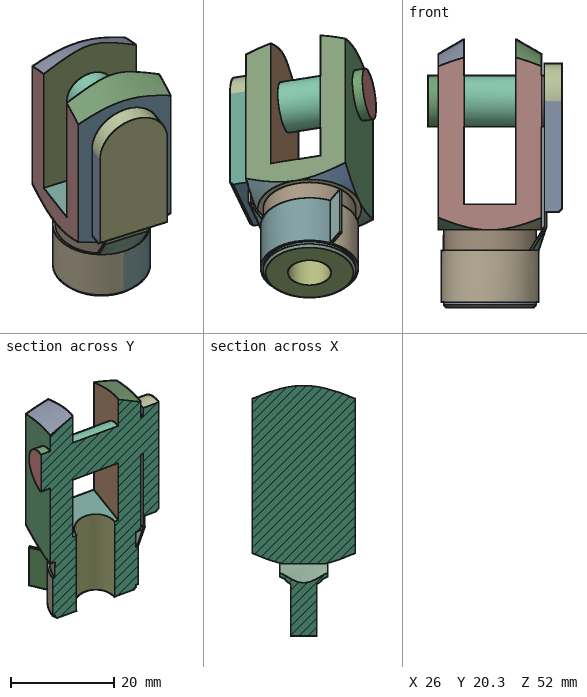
import cadquery as cq
import math

total_height = 52.0
body_width = 20.0
slot_width = 10.0
slot_floor = 20.0
body_bottom = 15.05
bevel_angle = 30.0
shank_diameter = 18.0
shank_chamfer = 0.5
bore_diameter = 8.35

pin_diameter = 10.0
pin_height = 40.0
pin_left = -12.0

sheet = 0.45
ring_bottom = 1.05
ring_top = 11.1
head_left = 10.5
head_right = 14.0
head_radius = 7.3
head_bottom = 18.45
head_chamfer = 0.7
arm_half_width = 4.7
arm_bend_height = 15.6
tab_angle = 132.0
tab_tip_y = 10.3

half_width = body_width / 2
shank_radius = shank_diameter / 2
ring_radius = shank_radius + sheet
bevel_slope = math.tan(math.radians(bevel_angle))


def make_bevel_envelope():
    """Solid of revolution whose two cones bevel the ends of the square body."""
    corner_radius = half_width * math.sqrt(2)
    outer_radius = corner_radius + 0.5
    upper_edge = total_height - (outer_radius - slot_width / 2) * bevel_slope
    lower_edge = body_bottom + (outer_radius - half_width) * bevel_slope
    apex = total_height + slot_width / 2 * bevel_slope
    profile = [
        (0, body_bottom),
        (half_width, body_bottom),
        (outer_radius, lower_edge),
        (outer_radius, upper_edge),
        (0, apex),
    ]
    return cq.Workplane("XZ").polyline(profile).close().revolve(360, (0, 0), (0, 1))


def make_fork():
    block_height = total_height - body_bottom
    block = (
        cq.Workplane("XY", origin=(0, 0, body_bottom))
        .rect(body_width, body_width)
        .extrude(block_height)
        .intersect(make_bevel_envelope())
    )
    shank = cq.Workplane("XY").circle(shank_radius).extrude(body_bottom)
    shank = shank.faces("<Z").chamfer(shank_chamfer)
    slot = (
        cq.Workplane("XY", origin=(0, 0, slot_floor))
        .rect(slot_width, 2 * body_width)
        .extrude(total_height)
    )
    bore = cq.Workplane("XY").circle(bore_diameter / 2).extrude(slot_floor)
    return block.union(shank).cut(slot).cut(bore)


def make_pin():
    return (
        cq.Workplane("YZ", origin=(pin_left, 0, pin_height))
        .circle(pin_diameter / 2)
        .extrude(head_right - pin_left)
    )


def make_clip_head():
    """Plate with a round top centred on the pin and a bevelled lower outer edge."""
    return (
        cq.Workplane("YZ", origin=(head_left, 0, 0))
        .moveTo(-head_radius, head_bottom)
        .lineTo(head_radius, head_bottom)
        .lineTo(head_radius, pin_height)
        .threePointArc((0, pin_height + head_radius), (-head_radius, pin_height))
        .close()
        .extrude(head_right - head_left)
        .faces(">X").edges("<Z").chamfer(head_chamfer)
    )


def make_clip_ring():
    return (
        cq.Workplane("XY", origin=(0, 0, ring_bottom))
        .circle(ring_radius)
        .circle(shank_radius)
        .extrude(ring_top - ring_bottom)
    )


def make_clip_arm():
    """Sheet that rises from the curved ring edge and flattens towards the head."""
    w = arm_half_width
    inner_x = math.sqrt(shank_radius**2 - w**2)
    outer_x = math.sqrt(ring_radius**2 - w**2)
    flared = (
        cq.Workplane("XY", origin=(0, 0, ring_top))
        .moveTo(inner_x, -w)
        .lineTo(outer_x, -w)
        .threePointArc((ring_radius, 0), (outer_x, w))
        .lineTo(inner_x, w)
        .threePointArc((shank_radius, 0), (inner_x, -w))
        .close()
        .workplane(offset=arm_bend_height - ring_top)
        .moveTo(head_left, -w)
        .lineTo(head_left + sheet, -w)
        .lineTo(head_left + sheet, w)
        .lineTo(head_left, w)
        .close()
        .loft(ruled=True)
    )
    straight = (
        cq.Workplane("XY", origin=(head_left + sheet / 2, 0, arm_bend_height))
        .rect(sheet, 2 * w)
        .extrude(head_bottom - arm_bend_height)
    )
    return flared.union(straight)


def make_clip_tab():
    """Radial tab on the ring, as tall as the ring."""
    angle = math.radians(tab_angle)
    root_radius = shank_radius + sheet / 2
    tip_radius = (tab_tip_y - sheet / 2 * abs(math.cos(angle))) / math.sin(angle)
    return (
        cq.Workplane("XY", origin=(0, 0, ring_bottom))
        .center((root_radius + tip_radius) / 2, 0)
        .rect(tip_radius - root_radius, sheet)
        .extrude(ring_top - ring_bottom)
        .rotate((0, 0, 0), (0, 0, 1), tab_angle)
    )


result = make_fork().union(make_pin())
for clip_piece in (make_clip_ring(), make_clip_arm(), make_clip_head(), make_clip_tab()):
    result = result.union(clip_piece)